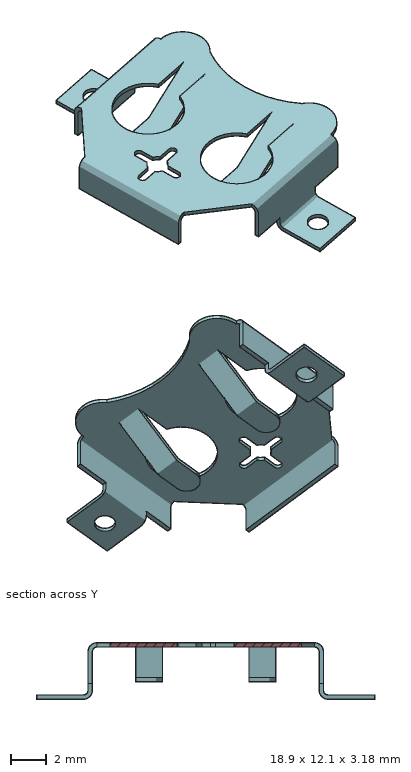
import cadquery as cq
import math


thickness = 0.254
bend_inner = 0.254
bend_outer = bend_inner + thickness
diagonal = math.sqrt(0.5)

overall_length = 18.95
overall_width = 12.06
overall_height = 3.18

plate_half_width = 6.096
flange_length = 7.112
flange_half = flange_length / 2
lobe_radius = 1.55
lobe_center_x = plate_half_width - lobe_radius
lobe_center_y = flange_half
plate_back = lobe_center_y + lobe_radius
plate_front = plate_back - overall_width + bend_outer
scoop_radius = 6.1
scoop_bottom_y = 3.51

side_wall_depth = 2.286
front_wall_depth = 2.134

tab_width = 3.175
tab_center_y = -0.04
tab_hole_diameter = 1.19
tab_hole_x = 8.05

tongue_x = 3.175
tongue_width = 1.524
tongue_root_y = 2.90
tongue_tip_y = -2.43
tongue_drop = 1.95
tongue_run = 3.05
tongue_bend_inner = 0.05
tongue_bend_outer = tongue_bend_inner + thickness
window_radius = 2.032
window_center_y = -1.24

cross_y = -4.365
cross_span = 3.175
cross_slot_width = 0.508
cross_hub_diameter = 1.19


def slab(outline):
    """Extrude an XY outline down from the upper face by one sheet thickness."""
    return outline.extrude(-thickness)


def make_plate():
    scoop_center_y = scoop_bottom_y + scoop_radius
    rise = scoop_center_y - lobe_center_y
    spacing = math.hypot(lobe_center_x, rise)
    along = (lobe_radius**2 - scoop_radius**2 + spacing**2) / (2 * spacing)
    across = math.sqrt(lobe_radius**2 - along**2)
    corner_x = lobe_center_x + (-lobe_center_x * along - rise * across) / spacing
    corner_y = lobe_center_y + (rise * along - lobe_center_x * across) / spacing
    return slab(
        cq.Workplane("XY")
        .moveTo(-flange_half, plate_front)
        .lineTo(flange_half, plate_front)
        .lineTo(plate_half_width, -flange_half)
        .lineTo(plate_half_width, lobe_center_y)
        .threePointArc((lobe_center_x, plate_back), (corner_x, corner_y))
        .threePointArc((0, scoop_bottom_y), (-corner_x, corner_y))
        .threePointArc((-lobe_center_x, plate_back), (-plate_half_width, lobe_center_y))
        .lineTo(-plate_half_width, -flange_half)
        .close()
    )


def flange_profile(plane, bend_line, depth):
    """Section of a flange that rolls over at bend_line and drops to the given depth."""
    outer = bend_line + bend_outer
    inner = bend_line + bend_inner
    return (
        cq.Workplane(plane)
        .moveTo(bend_line, 0)
        .threePointArc(
            (bend_line + bend_outer * diagonal, bend_outer * (diagonal - 1)),
            (outer, -bend_outer),
        )
        .lineTo(outer, -depth)
        .lineTo(inner, -depth)
        .lineTo(inner, -bend_outer)
        .threePointArc(
            (bend_line + bend_inner * diagonal, bend_inner * diagonal - bend_outer),
            (bend_line, -thickness),
        )
        .close()
    )


def make_front_flange():
    flange = flange_profile("YZ", -plate_front, front_wall_depth).extrude(flange_half, both=True)
    return flange.mirror("XZ")


def make_side_wall():
    return flange_profile("XZ", plate_half_width, side_wall_depth).extrude(flange_half, both=True)


def make_tab():
    wall_inner = plate_half_width + bend_inner
    wall_outer = wall_inner + thickness
    foot_bend_x = wall_outer + bend_inner
    foot_bend_z = bend_outer - overall_height
    foot_top = thickness - overall_height
    tab = (
        cq.Workplane("XZ", origin=(0, tab_center_y, 0))
        .moveTo(wall_inner, -side_wall_depth)
        .lineTo(wall_inner, foot_bend_z)
        .threePointArc(
            (foot_bend_x - bend_outer * diagonal, foot_bend_z - bend_outer * diagonal),
            (foot_bend_x, -overall_height),
        )
        .lineTo(overall_length / 2, -overall_height)
        .lineTo(overall_length / 2, foot_top)
        .lineTo(foot_bend_x, foot_top)
        .threePointArc(
            (foot_bend_x - bend_inner * diagonal, foot_bend_z - bend_inner * diagonal),
            (wall_outer, foot_bend_z),
        )
        .lineTo(wall_outer, -side_wall_depth)
        .close()
        .extrude(tab_width / 2, both=True)
    )
    hole = (
        cq.Workplane("XY", origin=(tab_hole_x, tab_center_y, -overall_height))
        .circle(tab_hole_diameter / 2)
        .extrude(thickness)
    )
    return tab.cut(hole)


def make_window():
    """Round window with a slot reaching back to the tongue's root."""
    window = slab(cq.Workplane("XY", origin=(tongue_x, window_center_y, 0)).circle(window_radius))
    slot_length = tongue_root_y - window_center_y
    slot = slab(
        cq.Workplane("XY", origin=(tongue_x, window_center_y + slot_length / 2, 0))
        .rect(tongue_width, slot_length)
    )
    return window.union(slot)


def make_tongue():
    """Strip that bends down from the plate, slopes forward and ends in a flat round tip."""
    slope = math.atan2(tongue_drop, tongue_run)
    half_sin = math.sin(slope / 2)
    half_cos = math.cos(slope / 2)
    full_sin = math.sin(slope)
    full_cos = math.cos(slope)
    upper_z = -tongue_bend_outer
    lower_z = tongue_bend_inner - tongue_drop
    upper_apex_y = tongue_root_y - tongue_bend_outer * math.tan(slope / 2)
    flat_y = upper_apex_y - tongue_run - tongue_bend_inner * math.tan(slope / 2)

    def upper(radius, sine, cosine):
        return tongue_root_y - radius * sine, upper_z + radius * cosine

    def lower(radius, sine, cosine):
        return flat_y + radius * sine, lower_z - radius * cosine

    strip = (
        cq.Workplane("YZ", origin=(tongue_x, 0, 0))
        .moveTo(tongue_root_y, 0)
        .threePointArc(
            upper(tongue_bend_outer, half_sin, half_cos),
            upper(tongue_bend_outer, full_sin, full_cos),
        )
        .lineTo(*lower(tongue_bend_inner, full_sin, full_cos))
        .threePointArc(
            lower(tongue_bend_inner, half_sin, half_cos),
            (flat_y, -tongue_drop),
        )
        .lineTo(tongue_tip_y, -tongue_drop)
        .lineTo(tongue_tip_y, -tongue_drop - thickness)
        .lineTo(flat_y, -tongue_drop - thickness)
        .threePointArc(
            lower(tongue_bend_outer, half_sin, half_cos),
            lower(tongue_bend_outer, full_sin, full_cos),
        )
        .lineTo(*upper(tongue_bend_inner, full_sin, full_cos))
        .threePointArc(
            upper(tongue_bend_inner, half_sin, half_cos),
            (tongue_root_y, -thickness),
        )
        .close()
        .extrude(tongue_width / 2, both=True)
    )
    outline_length = 2 * (tongue_root_y - tongue_tip_y)
    rounded_outline = (
        cq.Workplane("XY", origin=(tongue_x, tongue_tip_y + outline_length / 2, 0))
        .slot2D(outline_length, tongue_width, 90)
        .extrude(-overall_height)
    )
    return strip.intersect(rounded_outline)


def make_cross():
    center = cq.Workplane("XY", origin=(0, cross_y, 0))
    cross = slab(center.circle(cross_hub_diameter / 2))
    for angle in (0, 90):
        cross = cross.union(slab(center.slot2D(cross_span, cross_slot_width, angle)))
    return cross


def add_both_sides(body, right_feature):
    return body.union(right_feature).union(right_feature.mirror("YZ"))


def cut_both_sides(body, right_feature):
    return body.cut(right_feature).cut(right_feature.mirror("YZ"))


result = make_plate().cut(make_cross())
result = cut_both_sides(result, make_window())
result = result.union(make_front_flange())
result = add_both_sides(result, make_side_wall())
result = add_both_sides(result, make_tab())
result = add_both_sides(result, make_tongue())